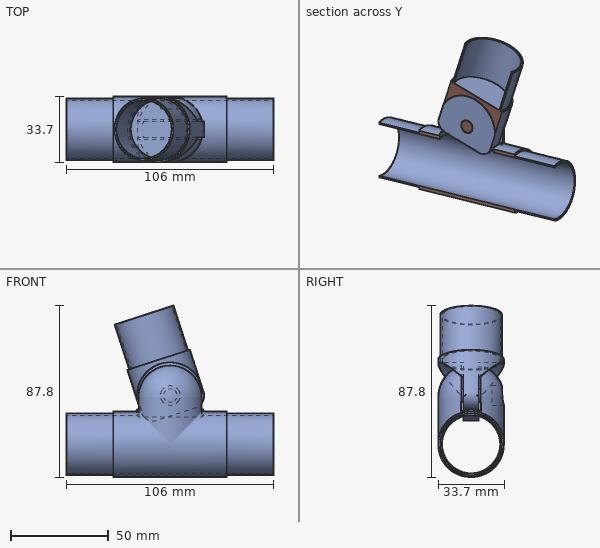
import cadquery as cq

body_diameter = 33.7
spigot_diameter = 31.7
bore_diameter = 29.7
spigot_length = 24.1

tee_length = 106.0
tee_body_length = tee_length - 2 * spigot_length
branch_fillet = 1.0
slot_width = 10.1
pivot_height = 25.0
dome_center_height = 24.2

counterbore_diameter = 10.1
counterbore_floor_y = 10.6

swivel_tilt = 18.0
collar_height = 19.1
tongue_thickness = 8.1
tongue_drop = 10.0
tongue_corner_radius = 6.4
pivot_boss_diameter = 6.9

body_radius = body_diameter / 2


def x_cylinder(diameter, length):
    return cq.Workplane("YZ").circle(diameter / 2).extrude(length / 2, both=True)


def y_cylinder(diameter, start_y, end_y, height):
    """Cylinder along Y whose axis is at the given height above X."""
    plane = cq.Plane(origin=(0, start_y, height), xDir=(1, 0, 0), normal=(0, 1, 0))
    return cq.Workplane(plane).circle(diameter / 2).extrude(end_y - start_y)


def make_branch():
    """Upright post with a ball end, starting on the tee axis."""
    post = cq.Workplane("XY").circle(body_radius).extrude(dome_center_height)
    dome = cq.Workplane("XY").sphere(body_radius).translate((0, 0, dome_center_height))
    return post.union(dome)


def make_tee():
    run = x_cylinder(body_diameter, tee_body_length)
    branch = make_branch()
    body = run.union(branch)
    seam_top = body_radius + branch_fillet
    seam_box = cq.selectors.BoxSelector(
        (-seam_top, -seam_top, -1.1), (seam_top, seam_top, seam_top), boundingbox=True
    )
    body = body.edges(seam_box).fillet(branch_fillet)

    slot = branch.intersect(
        cq.Workplane("XY").box(
            body_diameter, slot_width, 2 * (dome_center_height + body_radius)
        )
    )
    counterbore = y_cylinder(counterbore_diameter, counterbore_floor_y, body_radius, pivot_height)

    tee = body.union(x_cylinder(spigot_diameter, tee_length))
    tee = tee.cut(x_cylinder(bore_diameter, tee_length))
    return tee.cut(slot).cut(counterbore)


def make_tongue_limit():
    """Slab as thick as the tongue, rounded at the lower corners."""
    height = tongue_drop + collar_height
    return (
        cq.Workplane("XY")
        .box(body_diameter, tongue_thickness, height)
        .edges("|Y and <Z")
        .fillet(tongue_corner_radius)
        .translate((0, 0, height / 2 - tongue_drop))
    )


def make_swivel():
    """Built upright about a pivot at the origin, then tilted into place."""
    collar = cq.Workplane("XY").circle(body_radius).extrude(collar_height)
    relief = y_cylinder(body_diameter, -body_radius, body_radius, 0)
    collar = collar.cut(relief)

    round_bar = (
        cq.Workplane("XY")
        .workplane(offset=-tongue_drop)
        .circle(body_radius)
        .extrude(tongue_drop + collar_height)
    )
    tongue = round_bar.intersect(make_tongue_limit())
    pivot_bosses = y_cylinder(pivot_boss_diameter, -slot_width / 2, slot_width / 2, 0)
    tongue = tongue.union(pivot_bosses)

    spigot = (
        cq.Workplane("XY")
        .workplane(offset=collar_height)
        .circle(spigot_diameter / 2)
        .circle(bore_diameter / 2)
        .extrude(spigot_length)
    )
    swivel = collar.union(tongue).union(spigot)
    swivel = swivel.rotate((0, 0, 0), (0, 1, 0), -swivel_tilt)
    return swivel.translate((0, 0, pivot_height))


tee = make_tee()
swivel = make_swivel()

result = cq.Compound.makeCompound([tee.solids().val(), swivel.solids().val()])